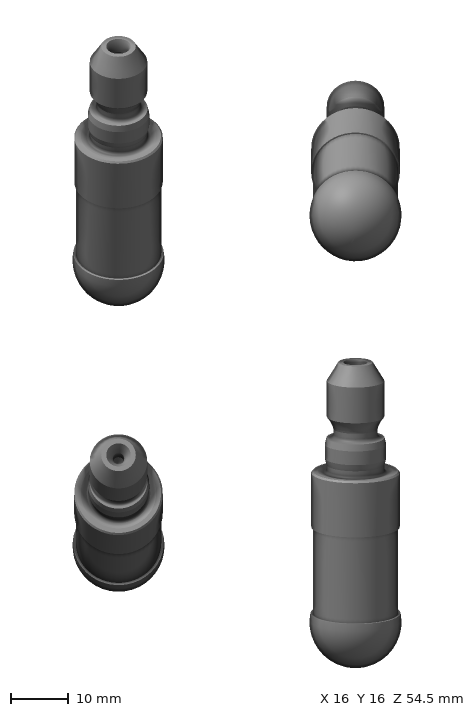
import cadquery as cq
import math

total_length = 54.51

ball_radius = 16.0 / 2
ball_flat_z = 1.6

shank_radius = 14.85 / 2
sleeve_radius = 15.38 / 2
stem_radius = 10.1 / 2
collar_radius = 10.68 / 2
neck_radius = 7.7 / 2
head_radius = 10.0 / 2
tip_radius = 6.0 / 2

top_z = total_length - ball_radius
head_top_z = top_z - 3.3
head_bottom_z = top_z - 9.7
flare_top_z = top_z - 11.5
neck_bottom_z = top_z - 12.83
collar_top_z = top_z - 13.48
collar_bottom_z = top_z - 17.1
sleeve_top_z = top_z - 19.45
sleeve_bottom_z = top_z - 29.45

sleeve_chamfer = 0.3
dish_outer_radius = 13.1 / 2
dish_depth = 0.17
stem_fillet = 0.48
collar_taper_angle = math.radians(14)
collar_taper_length = (collar_radius - stem_radius) / math.tan(collar_taper_angle)
neck_lower_fillet = neck_bottom_z - collar_top_z
neck_flare_width = 0.1
neck_flare_height = 0.34
head_underside_sag = 0.12

countersink_radius = 4.25 / 2
countersink_half_angle = math.radians(30)
drill_radius = 2.0 / 2
drill_length = 2.0
drill_half_angle = math.radians(60)


def fillet_middle(inner_radius, floor_z, fillet):
    """Middle point of a concave fillet between an upright wall and a floor."""
    offset = fillet * (1 - math.sqrt(0.5))
    return (inner_radius + offset, floor_z + offset)


def make_pin():
    """Stepped pin from the shank up to the tip, with its centre hole."""
    dish_floor_z = sleeve_top_z - dish_depth
    flare_radius = neck_radius + neck_flare_width
    underside_middle = (
        (head_radius + flare_radius) / 2 - head_underside_sag,
        (head_bottom_z + flare_top_z) / 2,
    )
    countersink_depth = (countersink_radius - drill_radius) / math.tan(countersink_half_angle)
    drill_shoulder_z = top_z - countersink_depth - drill_length
    drill_point_z = drill_shoulder_z - drill_radius / math.tan(drill_half_angle)

    profile = (
        cq.Workplane("XZ")
        .moveTo(0, ball_flat_z)
        .lineTo(shank_radius, ball_flat_z)
        .lineTo(shank_radius, sleeve_bottom_z)
        .lineTo(sleeve_radius, sleeve_bottom_z)
        .lineTo(sleeve_radius, sleeve_top_z - sleeve_chamfer)
        .lineTo(sleeve_radius - sleeve_chamfer, sleeve_top_z)
        .lineTo(dish_outer_radius, sleeve_top_z)
        .lineTo(stem_radius + stem_fillet, dish_floor_z)
        .threePointArc(
            fillet_middle(stem_radius, dish_floor_z, stem_fillet),
            (stem_radius, dish_floor_z + stem_fillet),
        )
        .lineTo(stem_radius, collar_bottom_z - collar_taper_length)
        .lineTo(collar_radius, collar_bottom_z)
        .lineTo(collar_radius, collar_top_z - collar_taper_length)
        .lineTo(stem_radius, collar_top_z)
        .lineTo(neck_radius + neck_lower_fillet, collar_top_z)
        .threePointArc(
            fillet_middle(neck_radius, collar_top_z, neck_lower_fillet),
            (neck_radius, neck_bottom_z),
        )
        .lineTo(neck_radius, flare_top_z - neck_flare_height)
        .lineTo(flare_radius, flare_top_z)
        .threePointArc(underside_middle, (head_radius, head_bottom_z))
        .lineTo(head_radius, head_top_z)
        .lineTo(tip_radius, top_z)
        .lineTo(countersink_radius, top_z)
        .lineTo(drill_radius, top_z - countersink_depth)
        .lineTo(drill_radius, drill_shoulder_z)
        .lineTo(0, drill_point_z)
        .close()
    )
    return profile.revolve(360, (0, 0), (0, 1))


def make_ball():
    """Ball cut off flat where it meets the shank."""
    flat_radius = math.sqrt(ball_radius**2 - ball_flat_z**2)
    profile = (
        cq.Workplane("XZ")
        .moveTo(0, -ball_radius)
        .threePointArc((ball_radius, 0), (flat_radius, ball_flat_z))
        .lineTo(0, ball_flat_z)
        .close()
    )
    return profile.revolve(360, (0, 0), (0, 1))


pin = make_pin()
ball = make_ball()

result = cq.Compound.makeCompound([pin.val(), ball.val()])